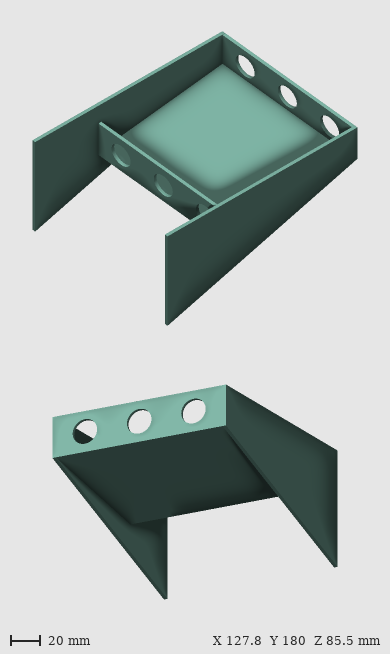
import cadquery as cq

overall_width = 127.8
overall_length = 180.0
plate_thickness = 2.5
inner_width = overall_width - 2 * plate_thickness

open_end_height = 85.5
panel_height = 30.0
drop_below_floor = 30.0
open_end_bottom = -drop_below_floor
open_end_top = open_end_bottom + open_end_height

box_front = 60.0
box_length = overall_length - box_front
panel_fronts = [box_front, overall_length - plate_thickness]

hole_diameter = 18.0
hole_count = 3
hole_spacing = 40.0
hole_height = panel_height / 2

panel_end_segment = panel_height / 3
panel_end_fingers = (0, 2)
floor_side_segment = box_length / 5
floor_side_fingers = (0, 2, 4)
floor_front_segment = inner_width / 5
floor_front_fingers = (1, 3)


def block(x_start, y_start, z_start, x_size, y_size, z_size):
    """Box placed by its lowest corner."""
    corner = (x_start, y_start, z_start)
    return cq.Workplane("XY", origin=corner).box(x_size, y_size, z_size, centered=False)


def make_floor():
    """Floor between the cross panels, with fingers into the side plates and the front cross panel."""
    inner_length = box_length - 2 * plate_thickness
    floor = block(
        -inner_width / 2, box_front + plate_thickness, 0,
        inner_width, inner_length, plate_thickness,
    )

    for segment in floor_side_fingers:
        finger_start = max(box_front + segment * floor_side_segment, box_front + plate_thickness)
        finger_end = min(box_front + (segment + 1) * floor_side_segment, overall_length - plate_thickness)
        floor = floor.union(block(
            -overall_width / 2, finger_start, 0,
            overall_width, finger_end - finger_start, plate_thickness,
        ))

    for segment in floor_front_fingers:
        floor = floor.union(block(
            -inner_width / 2 + segment * floor_front_segment, box_front, 0,
            floor_front_segment, plate_thickness, plate_thickness,
        ))
    return floor


def make_cross_panel(panel_front, floor):
    """Upright panel with holes, fingers into the side plates, and notches for any floor fingers."""
    panel = block(-inner_width / 2, panel_front, 0, inner_width, plate_thickness, panel_height)
    for segment in panel_end_fingers:
        panel = panel.union(block(
            -overall_width / 2, panel_front, segment * panel_end_segment,
            overall_width, plate_thickness, panel_end_segment,
        ))

    holes = (
        cq.Workplane("XZ", origin=(0, panel_front, hole_height))
        .rarray(hole_spacing, 1.8, hole_count, 1)
        .circle(hole_diameter / 2)
        .extrude(-plate_thickness)
    )
    return panel.cut(holes).cut(floor)


def make_side_plate(plate_start, fitted_bodies):
    """Tapered side plate with slots for the fingers of the bodies fitted into it."""
    plate = (
        cq.Workplane("YZ", origin=(plate_start, 0, 0))
        .moveTo(0, open_end_bottom)
        .lineTo(overall_length, 0)
        .lineTo(overall_length, panel_height)
        .lineTo(0, open_end_top)
        .close()
        .extrude(plate_thickness)
    )
    for body in fitted_bodies:
        plate = plate.cut(body)
    return plate


floor = make_floor()

cross_panels = []
for panel_front in panel_fronts:
    cross_panels.append(make_cross_panel(panel_front, floor))

side_plates = []
for plate_start in (-overall_width / 2, inner_width / 2):
    side_plates.append(make_side_plate(plate_start, [floor, *cross_panels]))

bodies = [floor, *cross_panels, *side_plates]
result = cq.Compound.makeCompound([body.solids().val() for body in bodies])